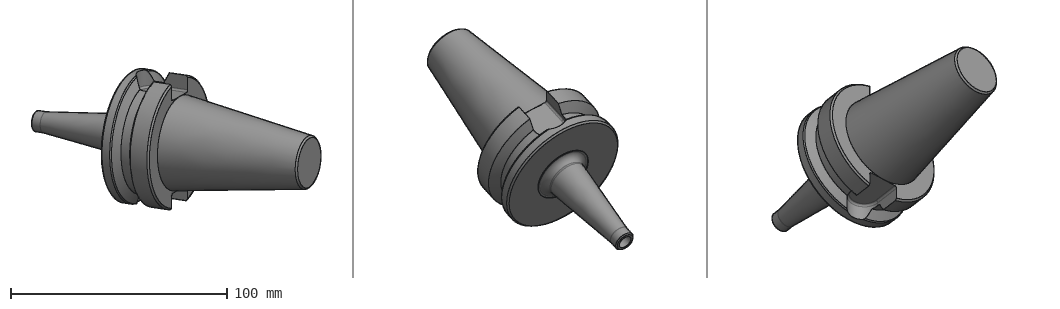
import cadquery as cq

total_length = 142.4

nose_radius = 5.0
nose_chamfer = 0.5
nose_straight_end = 4.8
neck_radius = 9.7
neck_start = 46.0
neck_end = 46.8
neck_fillet = 3.4
bore_diameter = 6.5
bore_depth = 10.0

recess_radius = 14.1
recess_floor = neck_end + neck_fillet

flange_front = 49.8
flange_back = 74.9
flange_radius = 31.5
flange_chamfer = 0.9
front_rim_end = 54.7
rim_break_length = 0.7
rim_break_depth = 0.4
groove_radius = 26.5
groove_front = 58.0
groove_back = 62.5
back_rim_start = 65.4

shank_large_radius = 22.5
shank_small_radius = 12.7
shank_chamfer = 0.9

slot_width = 16.1
slot_front = 53.3
slot_floor = 22.5
slot_floor_fillet = 1.0


def turned_body():
    """Half profile, as (distance along X, radius), revolved about X."""
    arc_drop = neck_fillet * 0.5 ** 0.5
    arc_centre_radius = neck_radius + neck_fillet
    profile = (
        cq.Workplane("XY")
        .moveTo(0, 0)
        .lineTo(0, nose_radius - nose_chamfer)
        .lineTo(nose_chamfer, nose_radius)
        .lineTo(nose_straight_end, nose_radius)
        .lineTo(neck_start, neck_radius)
        .lineTo(neck_end, neck_radius)
        .threePointArc(
            (neck_end + arc_drop, arc_centre_radius - arc_drop),
            (recess_floor, arc_centre_radius),
        )
        .lineTo(recess_floor, recess_radius)
        .lineTo(flange_front, recess_radius)
        .lineTo(flange_front, flange_radius - flange_chamfer)
        .lineTo(flange_front + flange_chamfer, flange_radius)
        .lineTo(front_rim_end, flange_radius)
        .lineTo(front_rim_end + rim_break_length, flange_radius - rim_break_depth)
        .lineTo(groove_front, groove_radius)
        .lineTo(groove_back, groove_radius)
        .lineTo(back_rim_start, flange_radius)
        .lineTo(flange_back - flange_chamfer, flange_radius)
        .lineTo(flange_back, flange_radius - flange_chamfer)
        .lineTo(flange_back, shank_large_radius)
        .lineTo(total_length - shank_chamfer, shank_small_radius)
        .lineTo(total_length, shank_small_radius - shank_chamfer)
        .lineTo(total_length, 0)
        .close()
    )
    return profile.revolve(360, (0, 0, 0), (1, 0, 0))


def nose_bore():
    return cq.Workplane("YZ").circle(bore_diameter / 2).extrude(bore_depth)


def drive_slot():
    """Round-ended slot on the +Z side, open at the back face of the flange."""
    half_width = slot_width / 2
    round_centre = slot_front + half_width
    slot_height = flange_radius - slot_floor
    return (
        cq.Workplane("XY", origin=(0, 0, slot_floor))
        .moveTo(flange_back, -half_width)
        .lineTo(round_centre, -half_width)
        .threePointArc((slot_front, 0), (round_centre, half_width))
        .lineTo(flange_back, half_width)
        .close()
        .extrude(slot_height)
        .faces("<Z")
        .edges("not >X")
        .fillet(slot_floor_fillet)
    )


result = turned_body().cut(nose_bore())
for side_angle in (0, 180):
    result = result.cut(drive_slot().rotate((0, 0, 0), (1, 0, 0), side_angle))